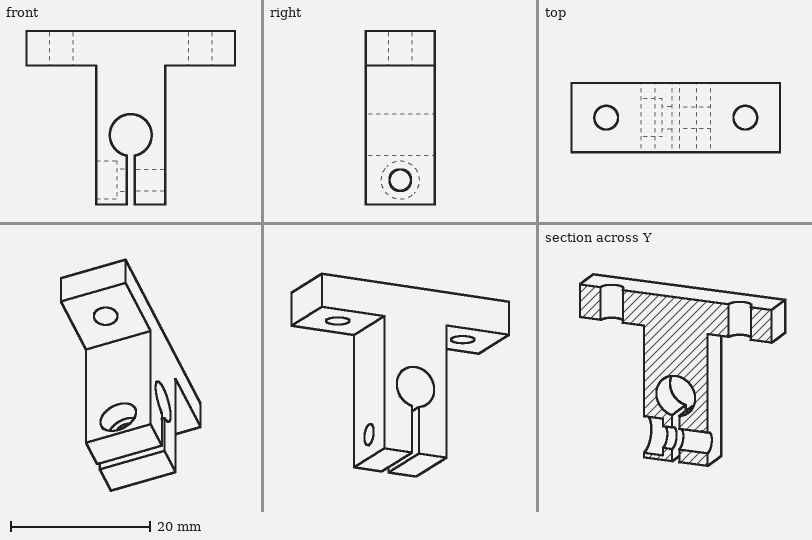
import cadquery as cq

length = 30.0
depth = 10.0
height = 25.0
flange_thickness = 5.0
stem_width = 10.0

bore_diameter = 6.0
bore_drop = 15.0
slot_width = 1.08

mount_hole_diameter = 3.4
mount_hole_spacing = 20.0

screw_height = 3.5
counterbore_diameter = 5.5
counterbore_depth = 3.0
clearance_diameter = 3.2
thread_diameter = 3.05

bore_z = height - bore_drop
half_stem = stem_width / 2


def make_body():
    """Flange and stem, centred on X and Y, standing on Z = 0."""
    flange = (
        cq.Workplane("XY")
        .workplane(offset=height - flange_thickness)
        .rect(length, depth)
        .extrude(flange_thickness)
    )
    stem = cq.Workplane("XY").rect(stem_width, depth).extrude(height)
    return flange.union(stem)


def make_mount_holes():
    """Two vertical holes through the flange."""
    half_spacing = mount_hole_spacing / 2
    return (
        cq.Workplane("XY")
        .pushPoints([(-half_spacing, 0), (half_spacing, 0)])
        .circle(mount_hole_diameter / 2)
        .extrude(height)
    )


def make_clamp_opening():
    """Shaft bore along Y with the slot that splits the stem below it."""
    bore = (
        cq.Workplane("XZ")
        .center(0, bore_z)
        .circle(bore_diameter / 2)
        .extrude(depth / 2, both=True)
    )
    slot = cq.Workplane("XY").rect(slot_width, depth).extrude(bore_z)
    return bore.union(slot)


def screw_cylinder(diameter, start_x, cut_length):
    """Cylinder on the clamp screw axis, running toward +X from start_x."""
    return (
        cq.Workplane("YZ", origin=(start_x, 0, screw_height))
        .circle(diameter / 2)
        .extrude(cut_length)
    )


def make_screw_hole():
    """Counterbore and clearance hole in the -X jaw, thread hole in the +X jaw."""
    counterbore = screw_cylinder(counterbore_diameter, -half_stem, counterbore_depth)
    clearance = screw_cylinder(clearance_diameter, -half_stem, half_stem)
    thread = screw_cylinder(thread_diameter, 0, half_stem)
    return counterbore.union(clearance).union(thread)


result = (
    make_body()
    .cut(make_mount_holes())
    .cut(make_clamp_opening())
    .cut(make_screw_hole())
)